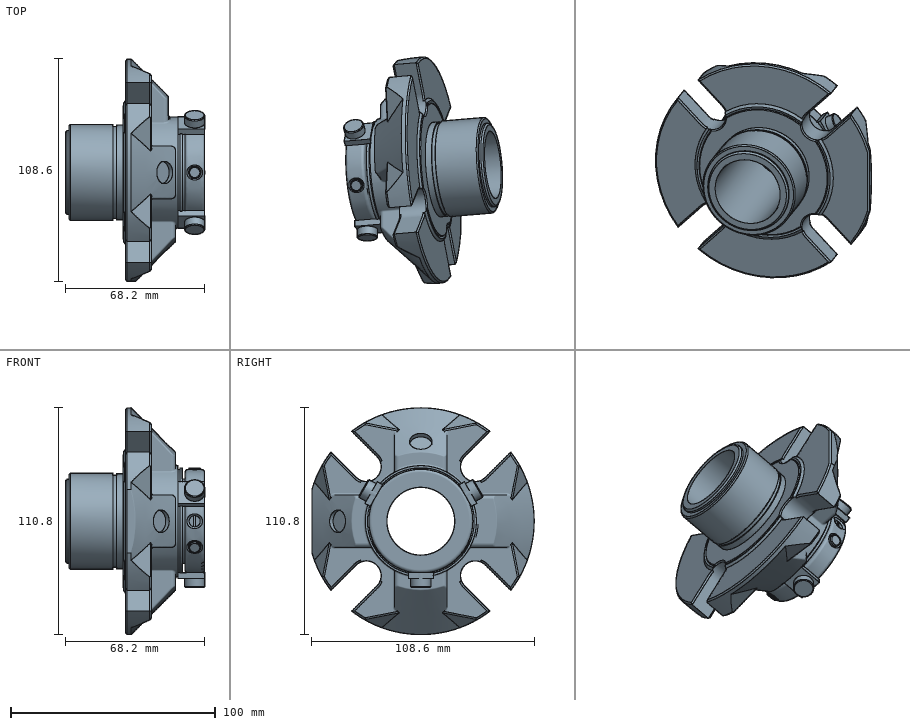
import cadquery as cq
import math


bore_diameter = 33.0
lip_diameter, lip_end = 41.1, 1.8
lip_chamfer = 0.9
sleeve_diameter, sleeve_end = 47.0, 23.2
sleeve_chamfer = 0.7
groove_diameter, groove_end = 45.1, 25.1
neck_diameter, boss_face = 46.5, 28.2
boss_slot_chamfer = 0.7

boss_face_radius = 32.4
gasket_groove_radius, gasket_groove_x = 32.8, 28.6
gasket_crest_radius, gasket_crest_x = 33.8, 28.4
gasket_foot_radius = 35.1

flange_back, flange_front = 29.4, 42.1
flange_radius = 55.4
back_edge_chamfer = 0.8
front_edge_chamfer = 1.0
flat_offset = 53.2
flat_edge_radius = 0.7
slot_width = 14.3
slot_centre_radius = 37.6
slot_angles = (45, 135, 225, 315)

cone_start = 32.2
relief_rim_half_width = 27.9
relief_apex_half_width = 19.1
relief_root_half_width = 10.0
relief_wall_chamfer = 0.5

hub_radius, hub_end = 27.2, 55.0
pad_half_width = 12.9
pad_end = 53.9
short_pad_end = 50.3
pad_corner_radius = 2.2
pad_edge_radius = 0.8
pad_seam_radius = 0.9
housing_base_radius = 0.8
port_diameter, port_depth = 11.0, 2.4
port_x = 46.9
top_port_x = 48.6

spigot_diameter, spigot_end = 50.8, 56.0
disc_diameter, disc_end = 52.2, 57.2
disc_edge_radius = 0.4
recess_diameter = 41.5
collar_diameter, collar_start, collar_end = 50.8, 58.4, 68.1
collar_edge_radius = 1.5
screw_x = 63.2

clip_angles = (30, 150, 270)
clip_half_width = 6.1
clip_inner_radius, clip_outer_radius = 25.1, 28.0
cap_diameter, cap_top_radius = 10.0, 32.4
cap_chamfer = 0.4

set_screw_angles = (90, 210, 330)
set_screw_diameter, set_screw_top_diameter = 6.0, 5.0
set_screw_top_radius = 26.0
seat_diameter, seat_depth = 7.8, 1.0
plug_angle = 0
plug_diameter, plug_slot_width = 5.4, 1.0
plug_slot_depth = 0.7

tolerance = 0.001


def cone_radius(x):
    return flange_radius - (x - cone_start)


def turned(points):
    """Solid of revolution about X from (x, radius) points."""
    return cq.Workplane("XY").polyline(points).close().revolve(360, (0, 0), (1, 0))


def ring(start, end, diameter):
    return cq.Workplane("YZ", origin=(start, 0, 0)).circle(diameter / 2).extrude(end - start)


def around(shape, angle):
    """Move a shape built on the -Y side to its angle about the shaft."""
    return shape.rotate((0, 0, 0), (1, 0, 0), -angle)


def radial_plane(x, radius):
    """Plane on the -Y side at a distance from the shaft, facing outwards."""
    return cq.Workplane(cq.Plane(origin=(x, -radius, 0), xDir=(1, 0, 0), normal=(0, -1, 0)))


def edge_points(edge):
    return [edge.positionAt(t) for t in (0, 0.5, 1)]


def edge_radii(edge):
    """Distances from the shaft axis along an edge."""
    return [math.hypot(p.y, p.z) for p in edge_points(edge)]


def is_at_x(edge, x):
    return all(math.isclose(p.x, x, abs_tol=tolerance) for p in edge_points(edge))


def make_sleeve():
    lip = ring(0, lip_end, lip_diameter).faces("<X").edges().chamfer(lip_chamfer)
    body = ring(lip_end, sleeve_end, sleeve_diameter).faces("<X").edges().chamfer(sleeve_chamfer)
    groove = ring(sleeve_end, groove_end, groove_diameter)
    neck = ring(groove_end, flange_back, neck_diameter)
    return lip.union(body).union(groove).union(neck)


def make_boss():
    """Low raised face behind the flange, ringed by a gasket with a bevelled rim."""
    return turned([
        (boss_face, 0),
        (boss_face, boss_face_radius),
        (gasket_groove_x, gasket_groove_radius),
        (gasket_crest_x, gasket_crest_radius),
        (flange_back, gasket_foot_radius),
        (flange_front, gasket_foot_radius),
        (flange_front, 0),
    ])


def make_slot(angle):
    """Open bolt slot, built on the -Y side and then turned to its angle."""
    length = flange_front - boss_face
    base = cq.Workplane("YZ", origin=(boss_face, 0, 0))
    end = base.center(-slot_centre_radius, 0).circle(slot_width / 2).extrude(length)
    throat = base.center(-slot_centre_radius - flange_radius / 2, 0)
    throat = throat.rect(flange_radius, slot_width).extrude(length)
    return around(end.union(throat), angle)


def make_slot_bevel(angle):
    """Conical bevel where the round end of a slot breaks through the boss face."""
    mouth = cq.Workplane("YZ", origin=(boss_face, -slot_centre_radius, 0))
    mouth = mouth.circle(slot_width / 2 + boss_slot_chamfer)
    bevel = mouth.workplane(offset=boss_slot_chamfer).circle(slot_width / 2).loft()
    return around(bevel, angle)


def make_relief():
    """Material outside the cone on the -Y side, between two slanting walls."""
    cutter = turned([
        (cone_start, flange_radius),
        (cone_start, flange_radius + 1.1),
        (flange_front, flange_radius + 1.1),
        (flange_front, cone_radius(flange_front)),
    ])
    for side in (1, -1):
        def wall_point(x, radius, half_width):
            return cq.Vector(x, -math.sqrt(radius**2 - half_width**2), side * half_width)

        rim = wall_point(flange_front, flange_radius, relief_rim_half_width)
        apex = wall_point(cone_start, flange_radius, relief_apex_half_width)
        root = wall_point(flange_front, cone_radius(flange_front), relief_root_half_width)
        normal = (rim - apex).cross(root - apex) * side
        if normal.y > 0:
            normal = normal * -1
        wall = cq.Plane(origin=apex.toTuple(), xDir=(rim - apex).toTuple(), normal=normal.toTuple())
        outside = cq.Workplane(wall).rect(4 * flange_radius, 4 * flange_radius).extrude(flange_radius)
        cutter = cutter.intersect(outside)
    return cutter


def is_relief_wall(edge):
    """Front edges of the relief walls stay outside the cone, unlike the slot edges."""
    return min(edge_radii(edge)) > cone_radius(flange_front) - tolerance


def make_flange():
    flange = ring(flange_back, flange_front, 2 * flange_radius)
    flat = cq.Workplane("XY").box(2 * flange_front, flange_radius, 2 * flange_radius)
    flange = flange.cut(flat.translate((flange_front, -flat_offset - flange_radius / 2, 0)))
    for angle in slot_angles:
        flange = flange.cut(make_slot(angle))
    flange = flange.faces("<X").edges().chamfer(back_edge_chamfer)
    flange = flange.faces(">X").edges().chamfer(front_edge_chamfer)
    boss = make_boss()
    for angle in slot_angles:
        boss = boss.cut(make_slot(angle)).cut(make_slot_bevel(angle))
    flange = flange.union(boss)
    for angle in (0, 90, 180, 270):
        flange = flange.cut(around(make_relief(), angle))
    walls = flange.faces(">X").edges("%LINE").filter(is_relief_wall)
    flange = walls.chamfer(relief_wall_chamfer)
    return flange.faces("<Y").edges("%HYPERBOLA").fillet(flat_edge_radius)


def make_pad(end):
    """Rib on the -Y side whose outer face follows the cone."""
    root = flange_front
    block = cq.Workplane("XY").box(end - root, flange_radius, 2 * pad_half_width)
    block = block.translate(((end + root) / 2, -flange_radius / 2, 0))
    block = block.edges("|Y and >X").fillet(pad_corner_radius)
    cone = turned([
        (root, 0),
        (root, cone_radius(root)),
        (end, cone_radius(end)),
        (end, 0),
    ])
    pad = block.intersect(cone)
    return pad.faces("%CONE").edges("not <X").fillet(pad_edge_radius)


def is_pad_seam(edge):
    """Edges where a pad meets the side of the hub."""
    on_hub = all(math.isclose(r, hub_radius, abs_tol=tolerance) for r in edge_radii(edge))
    return on_hub and not is_at_x(edge, flange_front) and not is_at_x(edge, hub_end)


def make_hub():
    """Hub with -Y, +Z, +Y and -Z pads; the +Y pad is shorter."""
    hub = ring(flange_front, hub_end, 2 * hub_radius)
    for angle, end in ((0, pad_end), (90, pad_end), (180, short_pad_end), (270, pad_end)):
        hub = hub.union(around(make_pad(end), angle))
    return hub.edges().filter(is_pad_seam).fillet(pad_seam_radius)


def is_housing_base(edge):
    """Straight pad feet, hub arcs and seam arcs on the front of the flange."""
    if not is_at_x(edge, flange_front):
        return False
    if edge.geomType() == "LINE":
        return max(edge_radii(edge)) < cone_radius(flange_front) - pad_edge_radius
    on_hub = min(edge_radii(edge)) < hub_radius + pad_seam_radius
    return edge.geomType() == "CIRCLE" and on_hub


def make_housing():
    housing = make_flange().union(make_hub())
    return housing.edges().filter(is_housing_base).fillet(housing_base_radius)


def make_port(x):
    """Plugged port, square to the cone on the -Y side."""
    outward = (1, -1, 0)
    mouth = cq.Plane(origin=(x, -cone_radius(x), 0), xDir=(0, 0, 1), normal=outward)
    return cq.Workplane(mouth).circle(port_diameter / 2).extrude(port_depth, both=True)


def make_collar():
    collar = ring(collar_start, collar_end, collar_diameter)
    collar = collar.faces("<X or >X").edges().fillet(collar_edge_radius)
    collar = collar.union(ring(hub_end, spigot_end, spigot_diameter))
    disc = ring(spigot_end, disc_end, disc_diameter).edges().fillet(disc_edge_radius)
    collar = collar.union(disc)
    return collar.union(ring(disc_end, collar_start, recess_diameter))


def make_seat(bottom_diameter):
    """Countersunk screw seat on the -Y side of the collar."""
    floor = radial_plane(screw_x, collar_diameter / 2 - seat_depth)
    cone = floor.circle(bottom_diameter / 2).workplane(offset=seat_depth)
    return cone.circle(seat_diameter / 2).loft()


def make_set_screw():
    bottom = collar_diameter / 2 - 2 * seat_depth
    screw = radial_plane(screw_x, bottom).circle(set_screw_diameter / 2)
    screw = screw.extrude(set_screw_top_radius - bottom)
    return screw.faces("<Y").edges().chamfer((set_screw_diameter - set_screw_top_diameter) / 2)


def make_plug_slot():
    floor = radial_plane(screw_x, collar_diameter / 2 - seat_depth - plug_slot_depth)
    slot = floor.rect(plug_slot_width, plug_diameter).extrude(plug_slot_depth)
    plug = floor.circle(plug_diameter / 2).extrude(plug_slot_depth)
    return slot.intersect(plug)


def make_clip():
    height = clip_outer_radius - clip_inner_radius
    length = collar_end - hub_end
    clip = radial_plane((hub_end + collar_end) / 2, clip_inner_radius)
    clip = clip.rect(length, 2 * clip_half_width).extrude(height)
    cap = radial_plane(screw_x, clip_inner_radius).circle(cap_diameter / 2)
    cap = cap.extrude(cap_top_radius - clip_inner_radius)
    return clip.union(cap.faces("<Y").edges().chamfer(cap_chamfer))


body = make_sleeve().union(make_housing())

body = body.cut(make_port(port_x))
body = body.cut(around(make_port(top_port_x), 90))

body = body.union(make_collar())
for angle in set_screw_angles:
    body = body.cut(around(make_seat(set_screw_diameter), angle))
    body = body.union(around(make_set_screw(), angle))
body = body.cut(around(make_seat(plug_diameter), plug_angle))
body = body.cut(around(make_plug_slot(), plug_angle))
for angle in clip_angles:
    body = body.union(around(make_clip(), angle))

result = body.cut(ring(0, collar_end, bore_diameter))